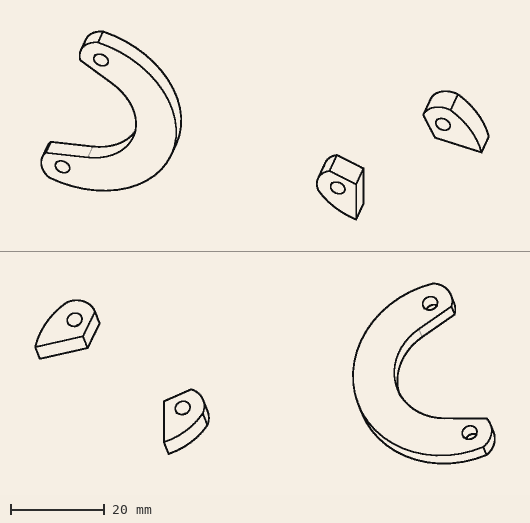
import cadquery as cq
import math

hole_diameter = 3.2

arm_thickness = 3.8
outer_radius = 21.1
inner_radius = 12.1
arm_center = (9.1, outer_radius)
mid_radius = (outer_radius + inner_radius) / 2
arm_end_radius = 4.8
upper_hole_angle = 75
lower_hole_angle = upper_hole_angle - 180
upper_flat_span = 19
lower_flat_span = 21

pad_thickness = 5.5
pad_nose_radius = 4.7

upper_pad_hole = (91.2, 42.6)
upper_pad_nose_angles = (161, 69)
upper_pad_curve_middle = (96.8, 43.3)
upper_pad_tip = (99.8, 36.8)
upper_pad_corner = (89.4, 38.4)

lower_pad_hole = (67.7, 19.1)
lower_pad_nose_angles = (113, 202)
lower_pad_curve_middle = (66.0, 14.3)
lower_pad_tip = (71.8, 11.2)
lower_pad_corner = (lower_pad_tip[0], 21.1)


def polar(center, radius, degrees):
    """Point at a given radius and angle about a center."""
    angle = math.radians(degrees)
    return (center[0] + radius * math.cos(angle), center[1] + radius * math.sin(angle))


def arm_end_points(hole_angle, flat_span, side):
    """Points round one arm end; side is +1 or -1, the turning direction toward its tip.

    Returns the outer corner, the extreme of the end arc, the inner corner
    and the point where the straight edge is tangent to the inner arc.
    """
    hole = polar(arm_center, mid_radius, hole_angle)

    corner_cosine = (outer_radius**2 + mid_radius**2 - arm_end_radius**2) / (2 * outer_radius * mid_radius)
    corner_offset = math.degrees(math.acos(corner_cosine))
    outer_corner = polar(arm_center, outer_radius, hole_angle + side * corner_offset)

    tangent_angle = hole_angle - side * flat_span
    tangent_point = polar(arm_center, inner_radius, tangent_angle)
    span = math.radians(flat_span)
    hole_height = mid_radius * math.cos(span) - inner_radius
    flat_length = mid_radius * math.sin(span) + math.sqrt(arm_end_radius**2 - hole_height**2)
    inner_corner = polar(tangent_point, flat_length, tangent_angle + side * 90)

    end_extreme = polar(hole, arm_end_radius, hole_angle + side * 90)
    return outer_corner, end_extreme, inner_corner, tangent_point


def make_arm():
    upper_outer, upper_extreme, upper_inner, upper_tangent = arm_end_points(
        upper_hole_angle, upper_flat_span, 1)
    lower_outer, lower_extreme, lower_inner, lower_tangent = arm_end_points(
        lower_hole_angle, lower_flat_span, -1)
    middle_angle = (upper_hole_angle + lower_hole_angle) / 2
    outline = (
        cq.Workplane("XZ")
        .moveTo(*upper_outer)
        .threePointArc(upper_extreme, upper_inner)
        .lineTo(*upper_tangent)
        .threePointArc(polar(arm_center, inner_radius, middle_angle), lower_tangent)
        .lineTo(*lower_inner)
        .threePointArc(lower_extreme, lower_outer)
        .threePointArc(polar(arm_center, outer_radius, middle_angle), upper_outer)
        .close()
    )
    holes = (
        cq.Workplane("XZ")
        .pushPoints([polar(arm_center, mid_radius, a) for a in (upper_hole_angle, lower_hole_angle)])
        .circle(hole_diameter / 2)
        .extrude(-arm_thickness)
    )
    return outline.extrude(-arm_thickness).cut(holes)


def make_pad(hole, nose_angles, curve_middle, tip, corner):
    """Block with a round nose about its hole, a curved edge, a tip and a corner."""
    nose_start = polar(hole, pad_nose_radius, nose_angles[0])
    nose_middle = polar(hole, pad_nose_radius, sum(nose_angles) / 2)
    nose_end = polar(hole, pad_nose_radius, nose_angles[1])
    outline = (
        cq.Workplane("XZ")
        .moveTo(*nose_start)
        .threePointArc(nose_middle, nose_end)
        .threePointArc(curve_middle, tip)
        .lineTo(*corner)
        .close()
    )
    bore = cq.Workplane("XZ").center(*hole).circle(hole_diameter / 2).extrude(pad_thickness)
    return outline.extrude(pad_thickness).cut(bore)


arm = make_arm()
upper_pad = make_pad(
    upper_pad_hole, upper_pad_nose_angles, upper_pad_curve_middle, upper_pad_tip, upper_pad_corner)
lower_pad = make_pad(
    lower_pad_hole, lower_pad_nose_angles, lower_pad_curve_middle, lower_pad_tip, lower_pad_corner)

result = cq.Compound.makeCompound([arm.val(), upper_pad.val(), lower_pad.val()])